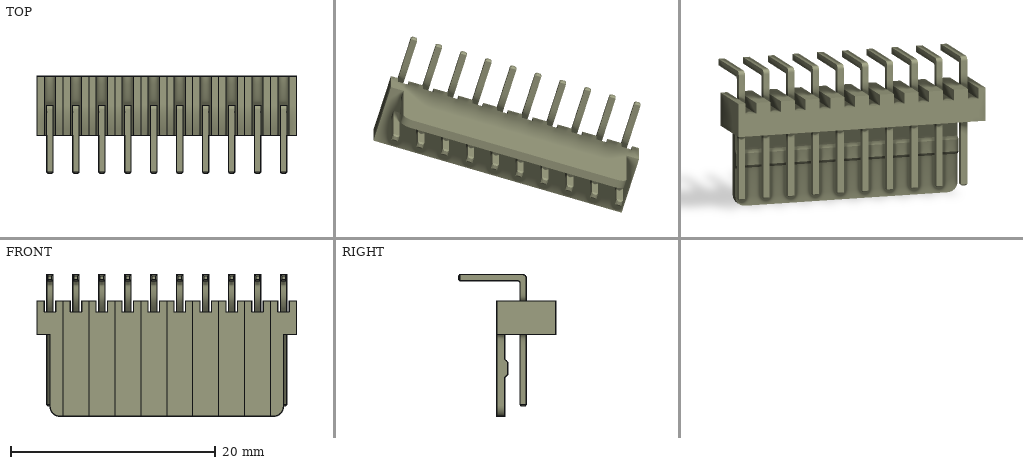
import cadquery as cq


pin_count = 10
pitch = 2.54
row_half_length = pin_count * pitch / 2

block_height = 3.3
block_depth = 5.8
block_front_y = -2.6
slot_width = 1.1
slot_depth = 1.07

wall_thickness = 0.8
wall_length = 8.0
wall_back_y = block_front_y + wall_thickness
end_inset = pitch / 2
end_corner_radius = 1.0

ridge_height = 0.3
ridge_top_z = -2.4
ridge_bottom_z = -4.2

pin_size = 0.64
pin_half = pin_size / 2
pin_rise = 2.6
pin_reach = 3.72
pin_top_z = block_height + pin_rise
pin_bottom_z = -7.0
pin_tip_y = block_front_y - pin_reach
bend_outer_radius = 0.4
bend_inner_radius = 0.2
tip_chamfer = 0.15


def make_block():
    """Block with an open slot along Y in its top, centred on the pin."""
    block = cq.Workplane("XY").box(pitch, block_depth, block_height, centered=(True, False, False))
    slot = (
        cq.Workplane("XY")
        .box(slot_width, block_depth, slot_depth, centered=(True, False, False))
        .translate((0, 0, block_height - slot_depth))
    )
    return block.cut(slot).translate((0, block_front_y, 0))


def make_wall(left, right):
    """Wall with its locking ridge, as a YZ profile extruded from X = left to X = right."""
    return (
        cq.Workplane("YZ", origin=(left, 0, 0))
        .moveTo(block_front_y, 0)
        .lineTo(wall_back_y, 0)
        .lineTo(wall_back_y, ridge_top_z)
        .lineTo(wall_back_y + ridge_height, ridge_top_z - ridge_height)
        .lineTo(wall_back_y + ridge_height, ridge_bottom_z + ridge_height)
        .lineTo(wall_back_y, ridge_bottom_z)
        .lineTo(wall_back_y, -wall_length)
        .lineTo(block_front_y, -wall_length)
        .close()
        .extrude(right - left)
    )


def make_pin():
    """Square pin bent forward at the top, with chamfered tips."""
    arm_underside_z = pin_top_z - pin_size
    pin = (
        cq.Workplane("YZ", origin=(-pin_half, 0, 0))
        .moveTo(-pin_half, pin_bottom_z)
        .lineTo(pin_half, pin_bottom_z)
        .lineTo(pin_half, pin_top_z)
        .lineTo(pin_tip_y, pin_top_z)
        .lineTo(pin_tip_y, arm_underside_z)
        .lineTo(-pin_half, arm_underside_z)
        .close()
        .extrude(pin_size)
    )
    outer_corner = cq.selectors.NearestToPointSelector((0, pin_half, pin_top_z))
    inner_corner = cq.selectors.NearestToPointSelector((0, -pin_half, arm_underside_z))
    pin = pin.edges("|X").edges(outer_corner).fillet(bend_outer_radius)
    pin = pin.edges("|X").edges(inner_corner).fillet(bend_inner_radius)
    return pin.faces("<Z or <Y").chamfer(tip_chamfer)


def make_module(at_left_end, at_right_end):
    """One pin module; at a row end the wall is set in and its lower corner is rounded."""
    left = -pitch / 2 + (end_inset if at_left_end else 0)
    right = pitch / 2 - (end_inset if at_right_end else 0)
    wall = make_wall(left, right)
    if at_left_end:
        wall = wall.edges("|Y").edges("<X").edges("<Z").fillet(end_corner_radius)
    if at_right_end:
        wall = wall.edges("|Y").edges(">X").edges("<Z").fillet(end_corner_radius)
    return make_block().union(wall).union(make_pin())


modules = []
for index in range(pin_count):
    module_x = index * pitch + pitch / 2 - row_half_length
    module = make_module(index == 0, index == pin_count - 1)
    modules.append(module.translate((module_x, 0, 0)).val())

result = cq.Compound.makeCompound(modules)